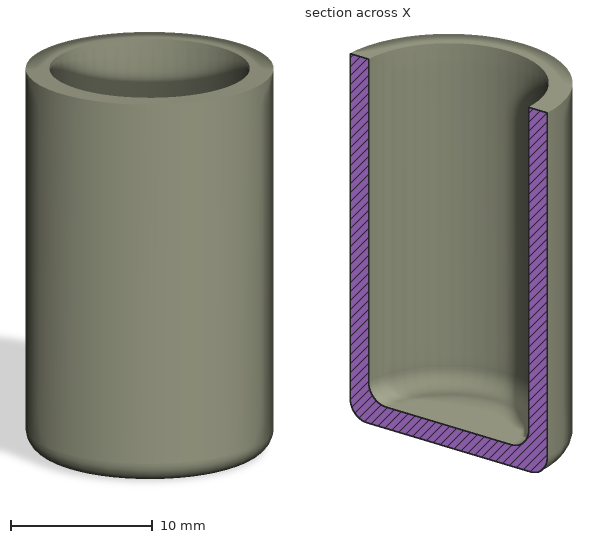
import cadquery as cq

height = 28.0
outer_diameter = 17.5
bore_diameter = 14.15
edge_radius = 1.5

wall = (outer_diameter - bore_diameter) / 2
floor_thickness = wall

body = cq.Workplane("XY").circle(outer_diameter / 2).extrude(height)
body = body.faces("<Z").edges().fillet(edge_radius)

bore = (
    cq.Workplane("XY", origin=(0, 0, floor_thickness))
    .circle(bore_diameter / 2)
    .extrude(height - floor_thickness)
)
bore = bore.faces("<Z").edges().fillet(edge_radius)

result = body.cut(bore)